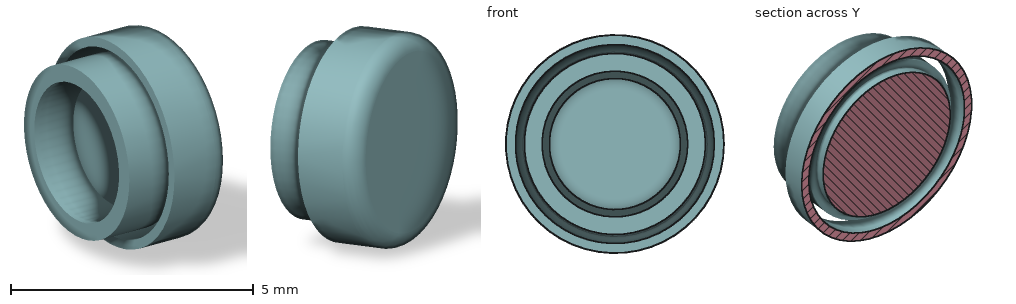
import cadquery as cq

cap_diameter = 4.5
cap_bore_diameter = 4.1
sleeve_diameter = 3.73
sleeve_bore_diameter = 3.0
core_diameter = 2.7
spacer_diameter = (sleeve_diameter + sleeve_bore_diameter) / 2

overall_depth = 2.27
cap_depth = 1.4
cap_wall = (cap_diameter - cap_bore_diameter) / 2
cap_edge_radius = 0.35
cap_inner_radius = cap_edge_radius - cap_wall
core_recess = 0.88
spacer_thickness = 0.88

front_y = -overall_depth / 2
back_y = overall_depth / 2
cap_front_y = back_y - cap_depth
cap_floor_y = back_y - cap_wall
spacer_front_y = cap_floor_y - spacer_thickness
core_front_y = front_y + core_recess


def disc(diameter, start_y, end_y):
    """Solid cylinder on the Y axis between two Y positions."""
    plane = cq.Workplane("XZ", origin=(0, start_y, 0))
    return plane.circle(diameter / 2).extrude(start_y - end_y)


def make_cap():
    """Round cup with a rounded closed end, opening toward -Y."""
    outside = disc(cap_diameter, cap_front_y, back_y).edges(">Y").fillet(cap_edge_radius)
    cavity = disc(cap_bore_diameter, cap_front_y, cap_floor_y).edges(">Y").fillet(cap_inner_radius)
    return outside.cut(cavity)


def make_spacer():
    """Round block on the cap floor that carries the sleeve and the core, narrower than the sleeve."""
    return disc(spacer_diameter, spacer_front_y, cap_floor_y)


def make_sleeve():
    """Tube standing on the spacer."""
    tube = disc(sleeve_diameter, front_y, spacer_front_y)
    return tube.cut(disc(sleeve_bore_diameter, front_y, spacer_front_y))


def make_core():
    """Round core standing on the spacer inside the sleeve, with a gap all round."""
    return disc(core_diameter, core_front_y, spacer_front_y)


cap = make_cap()
spacer = make_spacer()
sleeve = make_sleeve()
core = make_core()

result = cq.Compound.makeCompound([cap.val(), spacer.val(), sleeve.val(), core.val()])